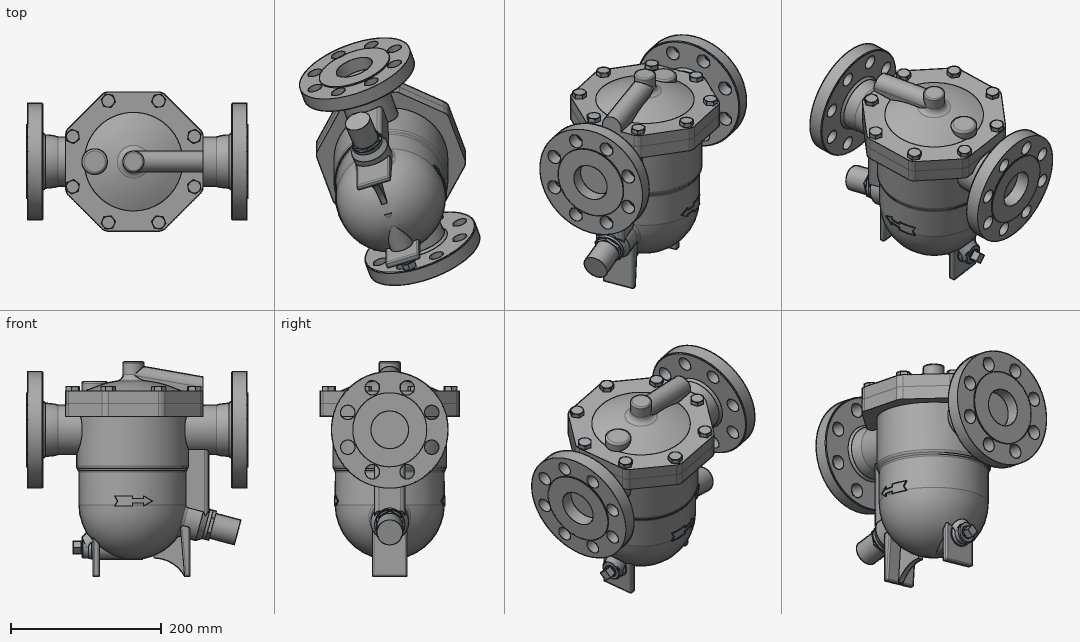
import cadquery as cq
import math


total_length = 294.0
run_offset = 5.0
flange_diameter = 155.0
flange_thickness = 21.8
raised_face_diameter = 98.2
raised_face_height = 1.8
flange_edge_chamfer = 1.2
flange_bolt_circle = 120.5
flange_hole_diameter = 19.0
flange_hole_count = 8
neck_diameter = 66.0
neck_flare_diameter = 71.1
neck_flare_start = 42.0
neck_flare_end = 25.3
neck_root_diameter = 77.0
bore_diameter = 50.0
bore_depth = 18.5

upper_diameter = 151.0
lower_diameter = 144.6
step_top = -48.0
step_bottom = -56.2
step_chamfer_top = -51.5
step_chamfer_bottom = -53.8
step_round_depth = 1.2
step_round_radius = 4.5
bowl_centre = -99.7
bowl_radius = lower_diameter / 2

octagon_width = 185.0
octagon_trim = -90.0
octagon_corner_radius = 12.5
cover_top = 51.5
joint_height = 35.0
body_flange_bottom = 17.5
cover_bolt_circle = 174.5
cover_bolt_count = 8
bolt_head_corners = 19.0
bolt_head_height = 6.2
bolt_head_chamfer = 1.0

dome_radius = 150.0
dome_apex = 66.5
dome_centre_z = dome_apex - dome_radius
vent_diameter = 28.0
vent_top = 90.3
vent_root_fillet = 8.8
vent_edge_fillet = 2.0
plug_boss_diameter = 34.0
plug_boss_x = -51.5
plug_boss_top = 64.0
plug_boss_edge_fillet = 3.0
duct_diameter = 28.0
duct_slope = 10.0
duct_axis_height = 72.3

branch_slope = 15.0
branch_end_x = 138.2
branch_end_z = -136.0
tube_diameter = 34.0
socket_root_fillet = 4.5
nut_corners = 40.0
nut_near = 34.5
nut_far = 38.8
collar_far = 43.2
socket_near = 51.2
socket_far = 100.0
socket_diameter = 50.0
collar_diameter = 40.0
rib_width = 40.5
rib_outer_x = 100.0
rib_edge_fillet = 6.0

foot_bottom = -194.5
foot_width = 46.0
foot_edge_fillet = 2.0
inlet_foot_x = -53.8
inlet_foot_thickness = 8.8
outlet_foot_x = 75.0
outlet_foot_thickness = 7.0
outlet_foot_top = -126.5
outlet_foot_lean = 6.0
web_thickness = 7.5
web_arc_radius = 46.5
web_arc_start_x = 27.0
web_arc_top = -170.2

drain_z = -156.0
drain_face_x = -68.2
drain_diameter = 28.0
drain_root_diameter = 31.2
drain_flare_start_x = -60.0
drain_flare_end_x = -55.5
drain_end_x = 11.8
drain_plug_side = 12.0
drain_plug_length = 11.8
drain_plug_base_diameter = 17.0
drain_plug_base_height = 1.2
drain_edge_chamfer = 1.5
gusset_diameter = 28.0
gusset_x = -62.3
gusset_length = 29.5
gusset_slope = 45.0

arrow_relief = 1.2
arrow_z = -94.5
arrow_tail_x = -25.0
arrow_notch_x = -21.2
arrow_feather_x = -1.2
arrow_barb_x = 13.2
arrow_tip_x = 25.3
arrow_half_height = 6.8
arrow_shaft_half_height = 3.0


def cylinder_x(diameter, start_x, end_x):
    return cq.Workplane("YZ").workplane(offset=start_x).circle(diameter / 2).extrude(end_x - start_x)


def octagon(bottom, top):
    corner_diameter = octagon_width / math.cos(math.pi / 8)
    trim_depth = octagon_width / 2 + octagon_trim
    trim = cq.Workplane("XY").box(2 * trim_depth, octagon_width, top - bottom, (True, True, False))
    return (
        cq.Workplane("XY")
        .transformed(rotate=(0, 0, 22.5))
        .polygon(8, corner_diameter)
        .extrude(top - bottom)
        .cut(trim.translate((-octagon_width / 2, 0, 0)))
        .edges("|Z")
        .fillet(octagon_corner_radius)
        .translate((0, 0, bottom))
    )


def vessel():
    upper_radius = upper_diameter / 2
    return (
        cq.Workplane("XZ")
        .moveTo(0, body_flange_bottom)
        .lineTo(0, bowl_centre - bowl_radius)
        .radiusArc((bowl_radius, bowl_centre), -bowl_radius)
        .lineTo(bowl_radius, step_bottom)
        .radiusArc((bowl_radius + step_round_depth, step_chamfer_bottom), step_round_radius)
        .lineTo(upper_radius - step_round_depth, step_chamfer_top)
        .radiusArc((upper_radius, step_top), -step_round_radius)
        .lineTo(upper_radius, body_flange_bottom)
        .close()
        .revolve(360, (0, 0, 0), (0, 1, 0))
    )


def flange_and_neck():
    """One end of the pipe run, with its raised face on X = 0 and the vessel towards +X."""
    flange_radius = flange_diameter / 2
    raised_radius = raised_face_diameter / 2
    flare_rise = (neck_flare_diameter - neck_diameter) / 2
    flare_run = neck_flare_start - neck_flare_end
    flare_arc_radius = (flare_run**2 + flare_rise**2) / (2 * flare_rise)
    end = (
        cq.Workplane("XY")
        .moveTo(0, 0)
        .lineTo(0, raised_radius)
        .lineTo(raised_face_height, raised_radius)
        .lineTo(raised_face_height, flange_radius)
        .lineTo(flange_thickness - flange_edge_chamfer, flange_radius)
        .lineTo(flange_thickness, flange_radius - flange_edge_chamfer)
        .lineTo(flange_thickness, neck_root_diameter / 2)
        .lineTo(neck_flare_end, neck_flare_diameter / 2)
        .radiusArc((neck_flare_start, neck_diameter / 2), flare_arc_radius)
        .lineTo(total_length / 2, neck_diameter / 2)
        .lineTo(total_length / 2, 0)
        .close()
        .revolve(360, (0, 0, 0), (1, 0, 0))
    )
    hole_start_angle = 180 / flange_hole_count
    holes = (
        cq.Workplane("YZ")
        .polarArray(flange_bolt_circle / 2, hole_start_angle, 360, flange_hole_count)
        .circle(flange_hole_diameter / 2)
        .extrude(flange_thickness)
    )
    return end.cut(holes).cut(cylinder_x(bore_diameter, 0, bore_depth))


def pipe_run():
    inlet = flange_and_neck().translate((run_offset - total_length / 2, 0, 0))
    outlet = flange_and_neck().mirror("YZ").translate((run_offset + total_length / 2, 0, 0))
    return inlet.union(outlet)


def dome():
    """Domed middle of the cover, with the vent boss and the round at its root."""
    rim_radius = math.sqrt(dome_radius**2 - (cover_top - dome_centre_z) ** 2)
    vent_radius = vent_diameter / 2
    fillet_centre_x = vent_radius + vent_root_fillet
    fillet_centre_reach = dome_radius + vent_root_fillet
    fillet_centre_z = dome_centre_z + math.sqrt(fillet_centre_reach**2 - fillet_centre_x**2)
    fillet_end_x = fillet_centre_x * dome_radius / fillet_centre_reach
    fillet_end_z = dome_centre_z + math.sqrt(dome_radius**2 - fillet_end_x**2)
    return (
        cq.Workplane("XZ")
        .moveTo(0, joint_height)
        .lineTo(rim_radius, joint_height)
        .lineTo(rim_radius, cover_top)
        .radiusArc((fillet_end_x, fillet_end_z), -dome_radius)
        .radiusArc((vent_radius, fillet_centre_z), vent_root_fillet)
        .lineTo(vent_radius, vent_top - vent_edge_fillet)
        .radiusArc((vent_radius - vent_edge_fillet, vent_top), -vent_edge_fillet)
        .lineTo(0, vent_top)
        .close()
        .revolve(360, (0, 0, 0), (0, 1, 0))
    )


def duct():
    """Sloping round-topped duct from the vent to the outlet side of the cover."""
    end_x = octagon_width / 2
    end_axis_z = duct_axis_height - end_x * math.tan(math.radians(duct_slope))
    length = 2 * end_x
    pipe = (
        cylinder_x(duct_diameter, 0, length)
        .rotate((0, 0, 0), (0, 1, 0), duct_slope)
        .translate((0, 0, duct_axis_height))
    )
    walls = (
        cq.Workplane("XZ")
        .polyline([(0, joint_height), (0, duct_axis_height), (end_x, end_axis_z), (end_x, joint_height)])
        .close()
        .extrude(duct_diameter / 2, both=True)
    )
    keep = cq.Workplane("XY").box(end_x, length, length, centered=(False, True, True))
    return pipe.union(walls).intersect(keep)


def plug_boss():
    return (
        cq.Workplane("XY", origin=(plug_boss_x, 0, joint_height))
        .circle(plug_boss_diameter / 2)
        .extrude(plug_boss_top - joint_height)
        .faces(">Z")
        .edges()
        .fillet(plug_boss_edge_fillet)
    )


def bolt_heads():
    heads = cq.Workplane("XY")
    corner_depth = bolt_head_corners * (1 - math.cos(math.pi / 6)) / 2
    rounding = (
        cq.Workplane("XY")
        .circle(bolt_head_corners / 2)
        .extrude(bolt_head_height)
        .faces(">Z")
        .chamfer(bolt_head_chamfer, corner_depth)
    )
    head = (
        cq.Workplane("XY")
        .polygon(6, bolt_head_corners)
        .extrude(bolt_head_height)
        .intersect(rounding)
        .translate((cover_bolt_circle / 2, 0, cover_top))
    )
    for index in range(cover_bolt_count):
        angle = (index + 0.5) * 360 / cover_bolt_count
        heads = heads.add(head.rotate((0, 0, 0), (0, 0, 1), angle))
    return heads.combine()


def cover():
    return (
        octagon(joint_height, cover_top)
        .union(dome())
        .union(plug_boss())
        .union(duct())
        .union(bolt_heads())
    )


def along_branch(shape):
    """Place a shape drawn along +X from the origin so it runs from the tube end back to the vessel."""
    return shape.rotate((0, 0, 0), (0, 1, 0), 180 + branch_slope).translate((branch_end_x, 0, branch_end_z))


def outlet_branch():
    tube = cylinder_x(tube_diameter, 0, nut_far)
    nut = (
        cq.Workplane("YZ", origin=(nut_near, 0, 0))
        .transformed(rotate=(0, 0, 90))
        .polygon(6, nut_corners)
        .extrude(nut_far - nut_near)
    )
    socket = (
        cq.Workplane("XY")
        .moveTo(nut_far, 0)
        .lineTo(nut_far, collar_diameter / 2)
        .lineTo(collar_far, collar_diameter / 2)
        .lineTo(socket_near, socket_diameter / 2)
        .lineTo(socket_far, socket_diameter / 2)
        .lineTo(socket_far, 0)
        .close()
        .revolve(360, (0, 0, 0), (1, 0, 0))
    )
    return along_branch(tube.union(nut).union(socket))


def vessel_with_branch():
    """Vessel and outlet branch, with a round where the socket meets the vessel wall."""
    reach = socket_diameter / 2 + 1.5
    root = cq.selectors.BoxSelector(
        (0, -reach, bowl_centre - bowl_radius),
        (upper_diameter / 2, reach, bowl_centre + reach / 2),
        boundingbox=True,
    )
    return vessel().union(outlet_branch()).edges(root).fillet(socket_root_fillet)


def rib():
    """Passage wall from the outlet pipe down to the branch socket."""
    slope = math.radians(branch_slope)

    def branch_point(back, up):
        x = branch_end_x - back * math.cos(slope) + up * math.sin(slope)
        z = branch_end_z + back * math.sin(slope) + up * math.cos(slope)
        return x, z

    column = (
        cq.Workplane("XZ")
        .polyline([(0, 0), (rib_outer_x, 0), (rib_outer_x, 2 * branch_end_z), (0, 2 * branch_end_z)])
        .close()
        .extrude(rib_width / 2, both=True)
        .edges("|Z and >X")
        .fillet(rib_edge_fillet)
    )
    side_reach = (
        cq.Workplane("XZ")
        .polyline(
            [
                (0, 0),
                (rib_outer_x, 0),
                branch_point(collar_far, collar_diameter / 2),
                branch_point(socket_near, 0),
                branch_point(socket_far, 0),
            ]
        )
        .close()
        .extrude(rib_width / 2, both=True)
    )
    return column.intersect(side_reach)


def inlet_foot():
    return (
        cq.Workplane("XY", origin=(inlet_foot_x, 0, foot_bottom))
        .rect(inlet_foot_thickness, foot_width)
        .extrude(bowl_centre - foot_bottom)
        .translate((inlet_foot_thickness / 2, 0, 0))
        .edges("|Z or <Z")
        .fillet(foot_edge_fillet)
    )


def outlet_foot():
    inner_x = outlet_foot_x - outlet_foot_thickness
    plate = (
        cq.Workplane("XZ")
        .polyline(
            [
                (inner_x, foot_bottom),
                (outlet_foot_x, foot_bottom),
                (outlet_foot_x, outlet_foot_top),
                (inner_x - outlet_foot_lean, outlet_foot_top),
            ]
        )
        .close()
        .extrude(foot_width / 2, both=True)
        .edges("(not #Z) or <Z")
        .fillet(foot_edge_fillet)
    )
    rise = math.sqrt(web_arc_radius**2 - (inner_x - web_arc_start_x) ** 2)
    arc_end_z = web_arc_top - web_arc_radius + rise
    web = (
        cq.Workplane("XZ")
        .moveTo(web_arc_start_x, web_arc_top)
        .radiusArc((inner_x, arc_end_z), web_arc_radius)
        .lineTo(inner_x, outlet_foot_top)
        .lineTo(web_arc_start_x, outlet_foot_top)
        .close()
        .extrude(web_thickness / 2, both=True)
    )
    return plate.union(web)


def drain():
    boss = (
        cq.Workplane("XY")
        .moveTo(drain_face_x, 0)
        .lineTo(drain_face_x, drain_diameter / 2 - drain_edge_chamfer)
        .lineTo(drain_face_x + drain_edge_chamfer, drain_diameter / 2)
        .lineTo(drain_flare_start_x, drain_diameter / 2)
        .lineTo(drain_flare_end_x, drain_root_diameter / 2)
        .lineTo(drain_end_x, drain_root_diameter / 2)
        .lineTo(drain_end_x, 0)
        .close()
        .revolve(360, (0, 0, 0), (1, 0, 0))
    )
    plug = (
        cq.Workplane("YZ", origin=(drain_face_x, 0, 0))
        .transformed(rotate=(0, 0, 45))
        .rect(drain_plug_side, drain_plug_side)
        .extrude(-drain_plug_length)
    )
    plug_base = cylinder_x(drain_plug_base_diameter, drain_face_x - drain_plug_base_height, drain_face_x)
    gusset = (
        cylinder_x(gusset_diameter, 0, gusset_length)
        .rotate((0, 0, 0), (0, 1, 0), -gusset_slope)
        .translate((gusset_x, 0, 0))
    )
    upper_half = cq.Workplane("XY").box(-drain_face_x, gusset_length * 2, gusset_length, (False, True, False))
    gusset = gusset.intersect(upper_half.translate((drain_face_x, 0, 0)))
    return boss.union(gusset).union(plug).union(plug_base).translate((0, 0, drain_z))


def flow_arrows():
    """Raised arrows pointing to +X on both flanks of the vessel."""
    half = [
        (arrow_tip_x, 0),
        (arrow_barb_x, arrow_half_height),
        (arrow_barb_x, arrow_shaft_half_height),
        (arrow_feather_x, arrow_shaft_half_height),
        (arrow_feather_x, arrow_half_height),
        (arrow_tail_x, arrow_half_height),
        (arrow_notch_x, 0),
    ]
    lower_half = [(x, -z) for x, z in reversed(half[1:-1])]
    outline = cq.Workplane("XZ", origin=(0, 0, arrow_z)).polyline(half + lower_half).close()
    raised_surface = (
        cq.Workplane("XY", origin=(0, 0, arrow_z))
        .circle(bowl_radius + arrow_relief)
        .circle(bowl_radius - 2 * arrow_relief)
        .extrude(2 * arrow_half_height, both=True)
    )
    return outline.extrude(lower_diameter, both=True).intersect(raised_surface)


body = vessel_with_branch().union(pipe_run()).union(octagon(body_flange_bottom, joint_height))
for feature in (rib(), inlet_foot(), outlet_foot(), drain(), flow_arrows()):
    body = body.union(feature)

result = body.union(cover(), clean=False)